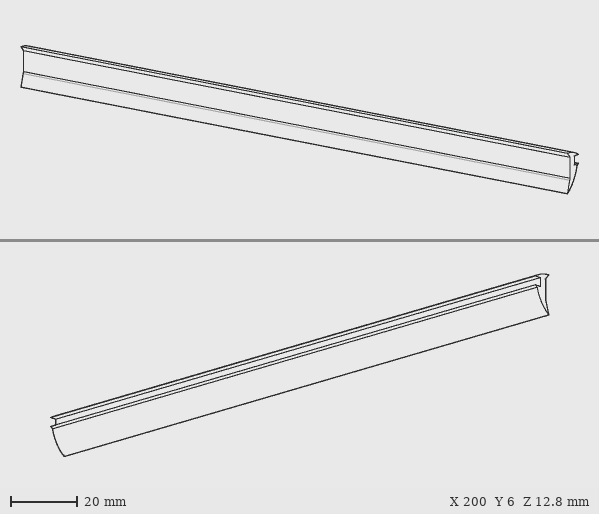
import cadquery as cq

length = 200.0
depth = 6.0
height = 12.8

front_wall_y = 1.5
front_wall_top = 11.2
foot_bevel_top = 4.5
foot_bevel_bottom = 4.0
foot_bevel_y = 1.2

channel_floor_y = 3.8
channel_top = 11.0
channel_bottom = 8.2
barb_root_y = 5.2
barb_root_z = 7.5

crown_mid_y = depth / 2
crown_mid_z = 12.5
back_mid_y = 3.5
back_mid_z = 3.8

profile = (
    cq.Workplane("YZ", origin=(-length / 2, 0, 0))
    .moveTo(0, 0)
    .lineTo(foot_bevel_y, foot_bevel_bottom)
    .lineTo(front_wall_y, foot_bevel_top)
    .lineTo(front_wall_y, front_wall_top)
    .lineTo(0, height)
    .threePointArc((crown_mid_y, crown_mid_z), (depth, channel_top))
    .lineTo(channel_floor_y, channel_top)
    .lineTo(channel_floor_y, channel_bottom)
    .lineTo(depth, channel_bottom)
    .lineTo(barb_root_y, barb_root_z)
    .threePointArc((back_mid_y, back_mid_z), (0, 0))
    .close()
)

result = profile.extrude(length)